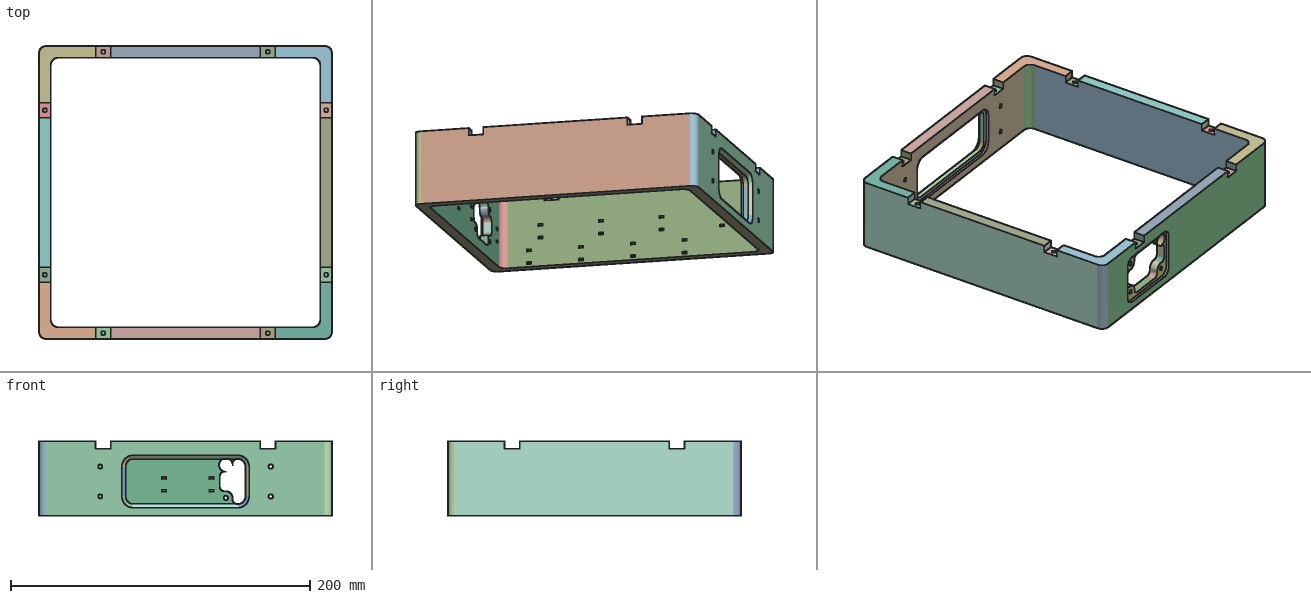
import cadquery as cq

frame_side = 196.0
frame_height = 50.0
wall = 8.0
corner_radius = 5.0
outer_face = frame_side / 2
inner_face = outer_face - wall
wall_middle = outer_face - wall / 2

notch_width = 10.0
notch_depth = 5.0
notch_offset = 55.0
notch_floor = frame_height - notch_depth
screw_diameter = 2.8
rim_screw_depth = 10.0

window_width = 80.0
window_height = 30.0
window_radius = 5.0
window_chamfer = 2.5
window_z = 23.0
window_screw_offset = 57.0
window_screw_spacing = 20.0

recess_depth = 2.0
recess_margin = 2.5

socket_x = 45.0
socket_z = 23.0
socket_width = 44.0
socket_height = 30.0
socket_screw_pitch_x = 36.0
socket_screw_pitch_z = 22.0
boss_radius = 4.5
socket_fillet = 3.0

tie_width = 3.0
tie_outer_radius = 5.0
tie_inner_radius = 3.7
back_tie_start = -46.5
back_tie_pitch = 32.0
back_tie_columns = 5
back_tie_z = 21.0
side_tie_columns = 4
upper_tie_start = 62.5
upper_tie_pitch = 42.0
upper_tie_z = 24.0
lower_tie_start = 70.5
lower_tie_pitch = 36.0
lower_tie_z = 7.0


def block(width, depth, height, center):
    return cq.Workplane("XY").box(width, depth, height).translate(center)


def bore_along_y(x, z, diameter, start, depth):
    """Cylinder that runs from y = start toward +Y."""
    axis = cq.Vector(0, 1, 0)
    return cq.Workplane(cq.Solid.makeCylinder(diameter / 2, depth, cq.Vector(x, start, z), axis))


def tie_ring(plane):
    """Flat ring whose outer half becomes a tunnel, centered on the origin."""
    ring = cq.Workplane(plane).circle(tie_outer_radius).circle(tie_inner_radius)
    return ring.extrude(tie_width / 2, both=True)


def make_frame():
    outer = cq.Workplane("XY").rect(frame_side, frame_side).extrude(frame_height)
    inner = cq.Workplane("XY").rect(2 * inner_face, 2 * inner_face).extrude(frame_height)
    return outer.edges("|Z").fillet(corner_radius).cut(inner.edges("|Z").fillet(corner_radius))


def cut_rim_notches(body):
    notch_z = notch_floor + notch_depth / 2
    for offset in (-notch_offset, notch_offset):
        body = body.cut(block(notch_width, frame_side, notch_depth, (offset, 0, notch_z)))
        body = body.cut(block(frame_side, notch_width, notch_depth, (0, offset, notch_z)))
    along_x = [(a, b) for a in (-notch_offset, notch_offset) for b in (-wall_middle, wall_middle)]
    along_y = [(b, a) for a, b in along_x]
    screws = (
        cq.Workplane("XY", origin=(0, 0, notch_floor))
        .pushPoints(along_x + along_y)
        .circle(screw_diameter / 2)
        .extrude(-rim_screw_depth)
    )
    return body.cut(screws)


def recess_cutter(opening_width, opening_height, opening_radius, center):
    """Rounded slab that overlaps an opening by the recess margin on every side."""
    overlap = 2 * recess_margin
    slab = block(opening_width + overlap, recess_depth, opening_height + overlap, center)
    return slab.edges("|Y").fillet(opening_radius + recess_margin)


def cut_window(body):
    through = block(window_width, wall, window_height, (0, -wall_middle, window_z))
    body = body.cut(through.edges("|Y").fillet(window_radius))
    bevel = (
        cq.Workplane("XZ", origin=(0, -outer_face, window_z))
        .sketch()
        .rect(window_width + 2 * window_chamfer, window_height + 2 * window_chamfer)
        .vertices()
        .fillet(window_radius + window_chamfer)
        .finalize()
        .extrude(-window_chamfer, taper=45)
    )
    body = body.cut(bevel)
    recess_y = -inner_face - recess_depth / 2
    body = body.cut(recess_cutter(window_width, window_height, window_radius, (0, recess_y, window_z)))
    for x in (-window_screw_offset, window_screw_offset):
        for side in (-1, 1):
            z = window_z + side * window_screw_spacing / 2
            body = body.cut(bore_along_y(x, z, screw_diameter, -outer_face, wall))
    return body


def socket_outline():
    """Cross-shaped outline whose corners leave rounded bosses for the socket screws."""
    boss = 2 * boss_radius
    arm_x = socket_screw_pitch_x / 2 - boss_radius
    arm_z = socket_screw_pitch_z / 2 - boss_radius
    wide = block(socket_width, wall, 2 * arm_z, (0, 0, 0)).edges("|Y").fillet(socket_fillet)
    tall = block(2 * arm_x, wall, socket_height, (0, 0, 0)).edges("|Y").fillet(socket_fillet)
    cross = wide.union(tall)
    for side_x in (-1, 1):
        for side_z in (-1, 1):
            corner = (side_x * (arm_x + boss_radius / 2), 0, side_z * (arm_z + boss_radius / 2))
            relief = block(boss_radius, wall, boss_radius, corner)
            screw_x = side_x * socket_screw_pitch_x / 2
            screw_z = side_z * socket_screw_pitch_z / 2
            cross = cross.union(relief.cut(bore_along_y(screw_x, screw_z, boss, -wall / 2, wall)))
    return cross


def cut_socket(body):
    body = body.cut(socket_outline().translate((socket_x, wall_middle, socket_z)))
    recess_center = (socket_x, outer_face - recess_depth / 2, socket_z)
    body = body.cut(recess_cutter(socket_width, socket_height, socket_fillet, recess_center))
    for side_x in (-1, 1):
        for side_z in (-1, 1):
            x = socket_x + side_x * socket_screw_pitch_x / 2
            z = socket_z + side_z * socket_screw_pitch_z / 2
            bored_away = side_x < 0 < side_z
            diameter = 2 * boss_radius if bored_away else screw_diameter
            body = body.cut(bore_along_y(x, z, diameter, inner_face, wall))
    return body


def cut_back_ties(body):
    """Cut an evenly spaced row of tunnels; one column falls inside the socket opening."""
    for column in range(back_tie_columns):
        x = back_tie_start + column * back_tie_pitch
        body = body.cut(tie_ring("YZ").translate((x, inner_face, back_tie_z)))
    return body


def cut_side_ties(body, start, pitch, z):
    for column in range(side_tie_columns):
        y = start - column * pitch
        body = body.cut(tie_ring("XZ").translate((inner_face, y, z)))
    return body


result = make_frame()
result = cut_rim_notches(result)
result = cut_window(result)
result = cut_socket(result)
result = cut_back_ties(result)
result = cut_side_ties(result, upper_tie_start, upper_tie_pitch, upper_tie_z)
result = cut_side_ties(result, lower_tie_start, lower_tie_pitch, lower_tie_z)